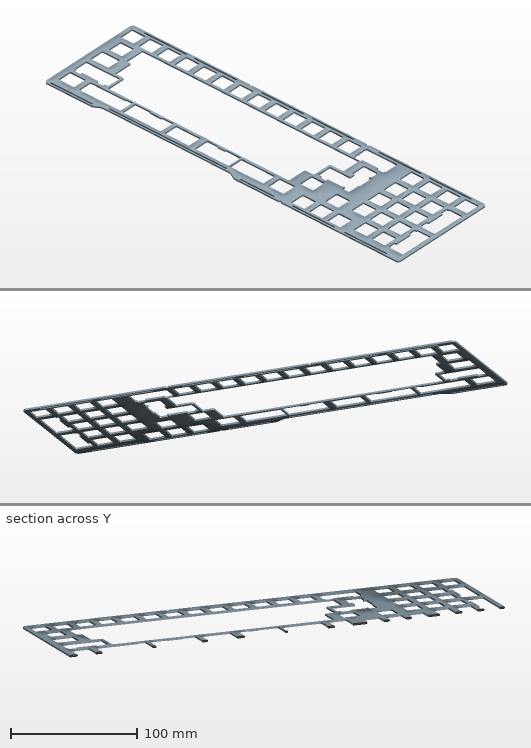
import cadquery as cq

UNIT = 19.05
FIELD_UNITS_X = 19.5
FIELD_UNITS_Y = 5.25

LENGTH = 374.43
WIDTH = 104.95
THICKNESS = 1.5
CORNER_RADIUS = 3.0
TOP = WIDTH / 2
BOTTOM = -WIDTH / 2

SWITCH = 14.0
HALF_SWITCH = SWITCH / 2
CUT_RADIUS = 0.75
HALF_STAB = 3.5
STAB_SHORT = 6.0
STAB_LONG = 9.0
STAB_TRIMMED = 8.0
STAB_OFFSET = 11.938
SPACE_STAB_OFFSET = 57.15
LONE_STAB_X = -14.0

TOP_PITCH = 124.0
TOP_PAIR_HALF = 26.5
FLEX_LENGTH = 45.0
FLEX_WIDTH = 1.5
TOP_FLEX_GAP = 1.4

BOTTOM_FLEX_GAP = 1.35
BOTTOM_FLEX_X = (-160.5, 95.5, TOP_PITCH + TOP_PAIR_HALF)
SHORT_FLEX_LENGTH = 37.0
SHORT_FLEX_X = 36.0

RECESS_X = -TOP_PITCH / 2
RECESS_DEPTH = 3.9
RECESS_INNER_HALF = 68.0
RECESS_OUTER_HALF = 75.0
RECESS_FILLET = 5.0
RECESS_FLEX_LENGTH = 125.0

NOTCH_RADIUS = 1.2

OPENING_CLEARANCE = 0.35
OPENING_RADIUS = 1.0


def key_x(units):
    return (units - FIELD_UNITS_X / 2) * UNIT


def line_y(units):
    """Y of a line a given number of units below the top of the key field."""
    return (FIELD_UNITS_Y / 2 - units) * UNIT


def row_y(row):
    """Y of the centre line of a key row, counted from 1 at the top."""
    return line_y(row - 0.5)


def box(x_min, x_max, y_min, y_max):
    block = cq.Workplane("XY").box(x_max - x_min, y_max - y_min, THICKNESS, centered=False)
    return block.edges("|Z").fillet(CUT_RADIUS).translate((x_min, y_min, 0))


def switch_cut(first, y, last=None):
    """Cutout for a switch, or one stretched over all the places between two key centres."""
    last = first if last is None else last
    return box(key_x(first) - HALF_SWITCH, key_x(last) + HALF_SWITCH, y - HALF_SWITCH, y + HALF_SWITCH)


def stab_pair(units, y):
    """Stabilizer cutouts on both sides of a wide key."""
    centres = [key_x(units) + side * STAB_OFFSET for side in (-1, 1)]
    return [box(x - HALF_STAB, x + HALF_STAB, y - STAB_LONG, y + STAB_SHORT) for x in centres]


def tall_stab_pair(units, y):
    """Stabilizer cutouts of a two-row key, one above the other."""
    x = key_x(units)
    centres = [y + side * STAB_OFFSET for side in (-1, 1)]
    return [box(x - STAB_LONG, x + STAB_SHORT, c - HALF_STAB, c + HALF_STAB) for c in centres]


def sheet():
    """Rounded sheet with a wide recess in its bottom edge, its corners eased."""
    plate = cq.Workplane("XY").box(LENGTH, WIDTH, THICKNESS, centered=(True, True, False))
    plate = plate.edges("|Z").fillet(CORNER_RADIUS)
    floor_y = BOTTOM + RECESS_DEPTH
    corners = [
        (RECESS_X - RECESS_OUTER_HALF, BOTTOM),
        (RECESS_X - RECESS_INNER_HALF, floor_y),
        (RECESS_X + RECESS_INNER_HALF, floor_y),
        (RECESS_X + RECESS_OUTER_HALF, BOTTOM),
    ]
    plate = plate.cut(cq.Workplane("XY").polyline(corners).close().extrude(THICKNESS))
    for x, y in corners:
        corner_edge = cq.selectors.NearestToPointSelector((x, y, THICKNESS / 2))
        plate = plate.edges(corner_edge).fillet(RECESS_FILLET)
    return plate


def edge_notches():
    x = TOP_PITCH / 2
    places = [(-x, TOP), (x, TOP), (x, BOTTOM)]
    return [cq.Workplane("XY").center(*place).circle(NOTCH_RADIUS).extrude(THICKNESS) for place in places]


def flex_slot(x, y, length):
    return cq.Workplane("XY").center(x, y).slot2D(length, FLEX_WIDTH).extrude(THICKNESS)


def flex_slots():
    top_y = TOP - TOP_FLEX_GAP - FLEX_WIDTH / 2
    bottom_y = BOTTOM + BOTTOM_FLEX_GAP + FLEX_WIDTH / 2
    slots = []
    for pair_x in (-TOP_PITCH, 0, TOP_PITCH):
        for side in (-1, 1):
            slots.append(flex_slot(pair_x + side * TOP_PAIR_HALF, top_y, FLEX_LENGTH))
    for x in BOTTOM_FLEX_X:
        slots.append(flex_slot(x, bottom_y, FLEX_LENGTH))
    slots.append(flex_slot(SHORT_FLEX_X, bottom_y, SHORT_FLEX_LENGTH))
    slots.append(flex_slot(RECESS_X, bottom_y + RECESS_DEPTH, RECESS_FLEX_LENGTH))
    return slots


def main_opening():
    """Opening under the letter keys, stepped like the stagger of rows 2 to 4."""
    row_spans = {2: (1.5, 13.5), 3: (1.75, 12.75), 4: (2.25, 12.25)}
    left = []
    right = []
    for row, (start, end) in row_spans.items():
        for y in (line_y(row - 1), line_y(row)):
            left.append((key_x(start) - OPENING_CLEARANCE, y))
            right.append((key_x(end) + OPENING_CLEARANCE, y))
    opening = cq.Workplane("XY").polyline(left + right[::-1]).close().extrude(THICKNESS)
    return [opening.edges("|Z").fillet(OPENING_RADIUS)]


def number_row():
    """Thirteen single keys and a backspace that may be one 2u key or two single keys."""
    y = row_y(1)
    cuts = [switch_cut(place + 0.5, y) for place in range(13)]
    cuts.append(switch_cut(13.5, y, 14.5))
    return cuts + stab_pair(14, y)


def left_keys():
    """Tab, caps lock and left shift."""
    shift_y = row_y(4)
    cuts = [
        switch_cut(0.75, row_y(2)),
        switch_cut(0.625, row_y(3), 0.875),
        switch_cut(0.625, shift_y, 1.75),
    ]
    return cuts + stab_pair(1.125, shift_y)


def enter_and_right_shift():
    """Joined cutouts for the one-row and the two-row enter key, and right shift."""
    tall_units = 14.375
    tall_x = key_x(tall_units)
    tall_y = line_y(2)
    tall_low = tall_y - STAB_OFFSET - HALF_STAB
    cuts = [
        switch_cut(14.25, row_y(2)),
        switch_cut(tall_units, tall_y),
        box(tall_x - HALF_SWITCH, tall_x + STAB_SHORT, tall_low, tall_y),
        switch_cut(13.25, row_y(3), 13.875),
        switch_cut(13.125, row_y(4)),
    ]
    return cuts + tall_stab_pair(tall_units, tall_y) + stab_pair(13.875, row_y(3))


def bottom_row():
    """Modifier keys and spacebars; the stabilizer cutouts reach up instead of down."""
    y = row_y(5)
    key_spans = [(0.625, 0.75), (1.75, 3.25), (6.5, 7.125), (10.125, 11.25), (12.25, 12.375)]
    cuts = [switch_cut(first, y, last) for first, last in key_spans]

    outer_left = key_x(6.5) - SPACE_STAB_OFFSET
    inner_left = key_x(7) - SPACE_STAB_OFFSET
    inner_right = key_x(6.5) + SPACE_STAB_OFFSET
    left_stabs = [key_x(units) + side * STAB_OFFSET for units in (4.875, 5.125) for side in (-1, 1)]
    right_stabs = [key_x(units) + side * STAB_OFFSET for units in (8.625, 8.875) for side in (-1, 1)]
    left_stabs.append(inner_left)
    right_stabs += [inner_right, LONE_STAB_X]
    for x in [outer_left] + left_stabs + right_stabs:
        cuts.append(box(x - HALF_STAB, x + HALF_STAB, y - HALF_SWITCH, y + STAB_TRIMMED))

    for stabs in (left_stabs, right_stabs):
        cuts.append(box(min(stabs) - HALF_STAB, max(stabs) + HALF_STAB, y - HALF_SWITCH, y + HALF_SWITCH))
    return cuts


def arrow_keys():
    """Three keys set a quarter unit below the bottom row, and one above them."""
    y = line_y(FIELD_UNITS_Y - 0.5)
    cuts = [switch_cut(units, y) for units in (13.75, 14.75, 15.75)]
    return cuts + [switch_cut(14.75, y + UNIT)]


def number_pad():
    cuts = [switch_cut(units, row_y(row)) for row in range(1, 5) for units in (16, 17, 18)]
    cuts += [switch_cut(17, row_y(5)), switch_cut(18, row_y(5))]

    last = 19
    cuts.append(switch_cut(last, row_y(1)))
    x = key_x(last)
    for row in (2, 4):
        low = row_y(row + 1) - HALF_SWITCH
        high = row_y(row) + HALF_SWITCH
        cuts.append(box(x - HALF_SWITCH, x + HALF_SWITCH, low, high))
        cuts += tall_stab_pair(last, line_y(row))
    return cuts


cutouts = (
    flex_slots() + edge_notches() + main_opening() + number_row() + left_keys()
    + enter_and_right_shift() + bottom_row() + arrow_keys() + number_pad()
)
plate_shape = sheet().val().cut(*[cutout.val() for cutout in cutouts])
result = cq.Workplane(plate_shape).clean().solids()